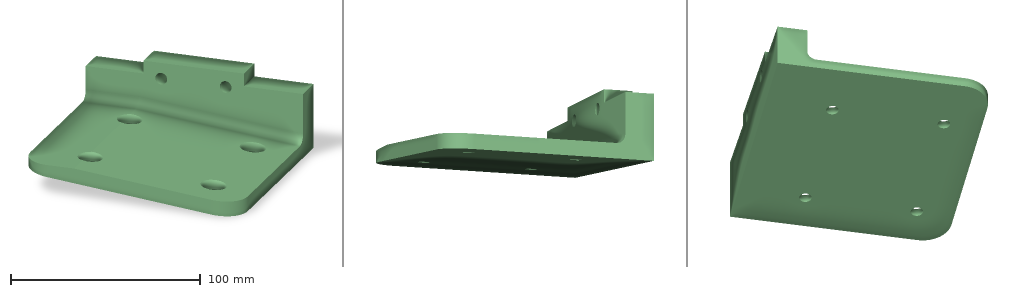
import cadquery as cq
import math

width = 122.0
depth = 116.0
height = 43.2
wall_thickness = 16.0
shoulder_drop = 7.2
corner_radius = 15.0
inner_fillet = 5.0

slope_angle = math.radians(5.7)
bend_x = 30.0
right_edge_height = 8.3

tab_start = 32.5
tab_end = 88.8
wall_hole_xs = (42.5, 78.6)
wall_hole_height = 34.3
hole_diameter = 6.6

screw_xs = (31.7, 101.1)
screw_ys = (20.0, 80.0)
countersink_diameter = 13.9
countersink_angle = math.radians(90)
drill_length = 36.6

pick_margin = 0.6

slope = math.tan(slope_angle)
underside_left = width * slope
level_height = right_edge_height + (width - bend_x) * slope
shoulder_height = height - shoulder_drop
wall_front = depth - wall_thickness


def extrude_along_y(points, y_start, y_end):
    """Prism with an XZ outline, running from y_start to y_end."""
    plane = cq.Workplane("XZ", origin=(0, y_start, 0))
    return plane.polyline(points).close().extrude(y_start - y_end)


def make_plate():
    outline = [
        (0, underside_left),
        (width, 0),
        (width, right_edge_height),
        (bend_x, level_height),
        (0, level_height),
    ]
    return extrude_along_y(outline, 0, depth)


def make_wall():
    outline = [
        (0, underside_left),
        (width, 0),
        (width, shoulder_height),
        (tab_end, shoulder_height),
        (tab_end, height),
        (tab_start, height),
        (tab_start, shoulder_height),
        (0, shoulder_height),
    ]
    return extrude_along_y(outline, wall_front, depth)


def make_screw_cutter(x, y):
    """Drill and countersink whose mouth lies on the inclined upper face."""
    mouth = cq.Vector(x, y, right_edge_height + (width - x) * slope)
    down = cq.Vector(-math.sin(slope_angle), 0, -math.cos(slope_angle))
    radius = countersink_diameter / 2
    cone_height = radius / math.tan(countersink_angle / 2)
    cone = cq.Solid.makeCone(radius, 0, cone_height, mouth, down)
    drill = cq.Solid.makeCylinder(hole_diameter / 2, drill_length, mouth, down)
    return cone.fuse(drill)


body = make_plate().union(make_wall())

junction = cq.selectors.BoxSelector(
    (-pick_margin, wall_front - pick_margin, right_edge_height - pick_margin),
    (width + pick_margin, wall_front + pick_margin, level_height + pick_margin),
)
body = body.edges(junction).fillet(inner_fillet)

body = body.edges("|Z").edges("<Y").fillet(corner_radius)

for hole_x in wall_hole_xs:
    wall_hole = cq.Solid.makeCylinder(
        hole_diameter / 2,
        wall_thickness,
        cq.Vector(hole_x, wall_front, wall_hole_height),
        cq.Vector(0, 1, 0),
    )
    body = body.cut(cq.Workplane(wall_hole))

for screw_x in screw_xs:
    for screw_y in screw_ys:
        body = body.cut(cq.Workplane(make_screw_cutter(screw_x, screw_y)))

result = body